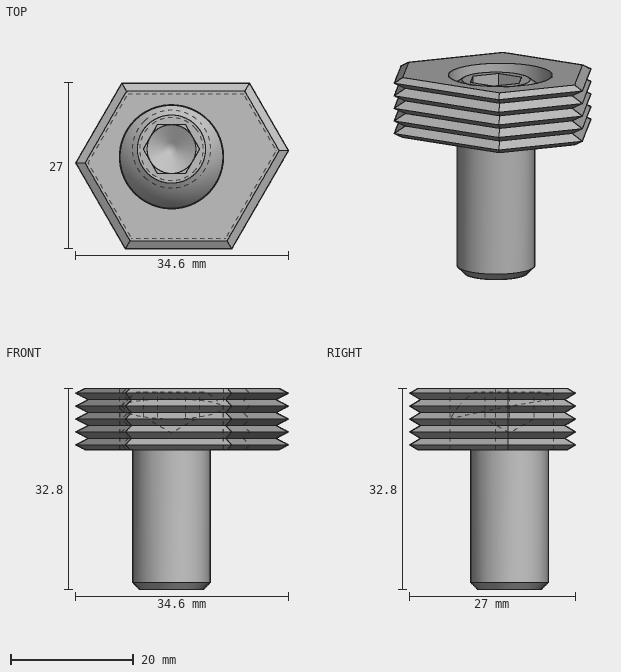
import cadquery as cq
import math

WASHER_HEIGHT = 10.0
FIRST_SIDE_DISTANCE = 12.0
SIDE_DISTANCE_STEP = 1.0
SIDE_COUNT = 6
BORE_DIAMETER = 16.9

TOOTH_COUNT = 5
TOOTH_PITCH = 2.1
FLANK_RUN_PER_RISE = 1.66
FIRST_CREST_Z = (WASHER_HEIGHT - (TOOTH_COUNT - 1) * TOOTH_PITCH) / 2

ECCENTRICITY = 1.25
HEAD_DIAMETER = 16.8
SCREW_LENGTH = 32.2
SHANK_LENGTH = 22.77
SHANK_DIAMETER = 12.7
TIP_CHAMFER = 1.2
HEAD_TOP_Z = SCREW_LENGTH - SHANK_LENGTH
DOME_RADIUS = 10.8
DOME_FLAT_DIAMETER = 11.1

SOCKET_SIDE_COUNT = 6
SOCKET_ACROSS_FLATS = 7.94
SOCKET_CORNERS_DIAMETER = SOCKET_ACROSS_FLATS / math.cos(math.pi / SOCKET_SIDE_COUNT)
SOCKET_DEPTH = 4.4
DRILL_POINT_ANGLE = 120.0


def hexagon_corners(inset):
    """Corners of the uneven hexagon with every side moved inward by inset."""
    side_angle = 2 * math.pi / SIDE_COUNT
    corners = []
    for side in range(SIDE_COUNT):
        distance = FIRST_SIDE_DISTANCE + side * SIDE_DISTANCE_STEP - inset
        next_side = (side + 1) % SIDE_COUNT
        next_distance = FIRST_SIDE_DISTANCE + next_side * SIDE_DISTANCE_STEP - inset
        along = (next_distance - distance * math.cos(side_angle)) / math.sin(side_angle)
        normal = math.pi / 2 + side * side_angle
        x = distance * math.cos(normal) - along * math.sin(normal)
        y = distance * math.sin(normal) + along * math.cos(normal)
        corners.append((x, y))
    return corners


def tapered_layer(bottom_z, bottom_inset, top_z, top_inset):
    """One band of flanks between two hexagons of different inset."""
    return (
        cq.Workplane("XY", origin=(0, 0, bottom_z))
        .polyline(hexagon_corners(bottom_inset))
        .close()
        .workplane(offset=top_z - bottom_z)
        .polyline(hexagon_corners(top_inset))
        .close()
        .loft(ruled=True)
    )


def make_washer():
    """Serrated hexagon with a plain through bore."""
    body = None
    for tooth in range(TOOTH_COUNT):
        crest_z = FIRST_CREST_Z + tooth * TOOTH_PITCH
        bottom_z = max(0.0, crest_z - TOOTH_PITCH / 2)
        top_z = min(WASHER_HEIGHT, crest_z + TOOTH_PITCH / 2)
        lower = tapered_layer(bottom_z, (crest_z - bottom_z) * FLANK_RUN_PER_RISE, crest_z, 0.0)
        upper = tapered_layer(crest_z, 0.0, top_z, (top_z - crest_z) * FLANK_RUN_PER_RISE)
        layers = lower.union(upper)
        body = layers if body is None else body.union(layers)
    bore = cq.Workplane("XY").circle(BORE_DIAMETER / 2).extrude(WASHER_HEIGHT)
    return body.cut(bore)


def make_cam_head():
    """Cylinder on the bore axis, crowned by a flat-topped sphere on the shank axis."""
    flat_radius = DOME_FLAT_DIAMETER / 2
    dome_center_z = HEAD_TOP_Z - math.sqrt(DOME_RADIUS**2 - flat_radius**2)
    arc_middle_angle = math.acos(flat_radius / DOME_RADIUS) / 2
    arc_middle_x = DOME_RADIUS * math.cos(arc_middle_angle)
    arc_middle_z = dome_center_z + DOME_RADIUS * math.sin(arc_middle_angle)
    cylinder = cq.Workplane("XY").circle(HEAD_DIAMETER / 2).extrude(HEAD_TOP_Z)
    dome_limit = (
        cq.Workplane("XZ", origin=(0, ECCENTRICITY, 0))
        .lineTo(DOME_RADIUS, 0)
        .lineTo(DOME_RADIUS, dome_center_z)
        .threePointArc((arc_middle_x, arc_middle_z), (flat_radius, HEAD_TOP_Z))
        .lineTo(0, HEAD_TOP_Z)
        .close()
        .revolve(360, (0, 0), (0, 1))
    )
    return cylinder.intersect(dome_limit)


def make_shank():
    """Cylindrical shank below the head, chamfered at its tip."""
    return (
        cq.Workplane("XY", origin=(0, ECCENTRICITY, 0))
        .circle(SHANK_DIAMETER / 2)
        .extrude(-SHANK_LENGTH)
        .faces("<Z")
        .chamfer(TIP_CHAMFER)
    )


def make_socket():
    """Hexagonal key socket with a conical drill point below its floor."""
    socket_radius = SOCKET_ACROSS_FLATS / 2
    floor_z = HEAD_TOP_Z - SOCKET_DEPTH
    point_depth = socket_radius / math.tan(math.radians(DRILL_POINT_ANGLE / 2))
    hexagon = (
        cq.Workplane("XY", origin=(0, ECCENTRICITY, floor_z))
        .polygon(SOCKET_SIDE_COUNT, SOCKET_CORNERS_DIAMETER)
        .extrude(SOCKET_DEPTH)
    )
    drill_point = (
        cq.Workplane("XZ", origin=(0, ECCENTRICITY, floor_z))
        .lineTo(socket_radius, 0)
        .lineTo(0, -point_depth)
        .close()
        .revolve(360, (0, 0), (0, 1))
    )
    return hexagon.union(drill_point)


def make_screw():
    """Cam head and shank as one solid, with the key socket cut into the top."""
    return make_cam_head().union(make_shank()).cut(make_socket())


washer = make_washer()
screw = make_screw()

result = cq.Compound.makeCompound([washer.solids().val(), screw.solids().val()])